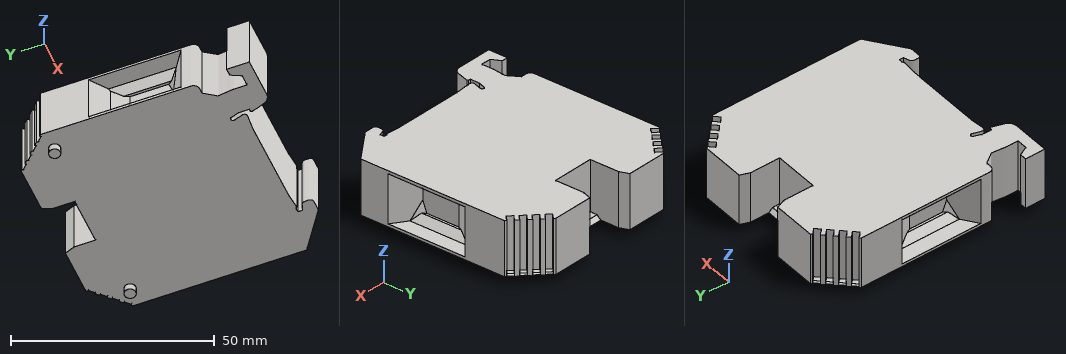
import cadquery as cq
import math

LENGTH_Y = 65.0
RIGHT_X = 60.5
LEFT_X = 1.55
THICKNESS = 16.05
MID_X = (LEFT_X + RIGHT_X) / 2
MID_Z = THICKNESS / 2

CORNER = 8.9

NOTCH_WIDTH = 13.2
NOTCH_MOUTH = 15.3
NOTCH_FLARE_DEPTH = 2.8
NOTCH_FLOOR_Y = 53.2
LEDGE_Y = 56.55
LEDGE_HEIGHT = 1.2

GROOVE_COUNT = 4
GROOVE_PITCH = 3.2
GROOVE_WIDTH = 1.9
GROOVE_DEPTH = 2.2
GROOVE_FLOOR = 0.45
GROOVE_LIP = 0.3

FUNNEL_TOP_Y = 43.35
FUNNEL_BOTTOM_Y = 18.8
FUNNEL_BEND_DEPTH = 5.0
FUNNEL_BEND_Y = 39.6
FUNNEL_THROAT_DEPTH = 4.55
FUNNEL_NECK_DEPTH = 6.5
FUNNEL_DEPTH = 7.2
FUNNEL_BACK_TOP_Y = 35.35
FUNNEL_BACK_BOTTOM_Y = 23.8
FUNNEL_MOUTH_HEIGHT = 14.25
FUNNEL_NECK_HEIGHT = 9.95
FACET_GAP = 3.4
FACET_NECK_Y = 25.1

PEG_DIAMETER = 3.0
PEG_LENGTH = 2.0
PEG_SPACING = 48.1
PEG_Y = 54.6

CLEARANCE = 0.65


def housing_blank():
    """Side profile with rail foot, spring slot and rail hook, without the top notch."""
    outline = (
        cq.Workplane("XY")
        .moveTo(0, 0)
        .lineTo(11.25, 0)
        .threePointArc((12.75, 0.6), (13.65, 1.95))
        .lineTo(14.75, 5.45)
        .lineTo(14.5, 5.8)
        .lineTo(13.85, 5.8)
        .lineTo(13.85, 8.7)
        .lineTo(14.55, 10.8)
        .threePointArc((15.2, 11.2), (15.6, 10.45))
        .lineTo(14.8, 7.9)
        .threePointArc((14.95, 7.3), (15.65, 6.95))
        .lineTo(19.7, 7.35)
        .lineTo(42.65, 7.35)
        .lineTo(46.9, 6.95)
        .lineTo(47.4, 7.35)
        .lineTo(48.4, 7.2)
        .lineTo(48.4, 6.05)
        .lineTo(46.9, 5.6)
        .threePointArc((46.3, 5.15), (46.0, 4.4))
        .lineTo(46.0, 3.4)
        .radiusArc((47.0, 2.4), -1.0)
        .lineTo(49.85, 2.4)
        .lineTo(RIGHT_X, 9.95)
        .lineTo(RIGHT_X, LENGTH_Y - CORNER)
        .lineTo(RIGHT_X - CORNER, LENGTH_Y)
        .lineTo(LEFT_X + CORNER, LENGTH_Y)
        .lineTo(LEFT_X, LENGTH_Y - CORNER)
        .lineTo(LEFT_X, 16.1)
        .radiusArc((LEFT_X + 1.6, 14.5), -1.6)
        .lineTo(4.7, 14.5)
        .lineTo(6.7, 11.65)
        .threePointArc((6.9, 11.4), (6.95, 11.05))
        .lineTo(6.7, 8.6)
        .threePointArc((6.55, 7.7), (6.5, 6.75))
        .lineTo(6.5, 3.3)
        .lineTo(3.4, 3.3)
        .lineTo(2.0, 6.05)
        .lineTo(0, 6.05)
        .close()
    )
    return outline.extrude(THICKNESS)


def marker_notch():
    """Flared notch whose bottom is closed by a bevelled ledge."""
    half_width = NOTCH_WIDTH / 2
    half_mouth = NOTCH_MOUTH / 2
    notch = (
        cq.Workplane("XY")
        .moveTo(MID_X - half_width, NOTCH_FLOOR_Y)
        .lineTo(MID_X + half_width, NOTCH_FLOOR_Y)
        .lineTo(MID_X + half_width, LENGTH_Y - NOTCH_FLARE_DEPTH)
        .lineTo(MID_X + half_mouth, LENGTH_Y)
        .lineTo(MID_X - half_mouth, LENGTH_Y)
        .lineTo(MID_X - half_width, LENGTH_Y - NOTCH_FLARE_DEPTH)
        .close()
        .extrude(THICKNESS)
    )
    ledge = (
        cq.Workplane("YZ", origin=(MID_X, 0, 0))
        .moveTo(NOTCH_FLOOR_Y, 0)
        .lineTo(LEDGE_Y, 0)
        .lineTo(LEDGE_Y - LEDGE_HEIGHT, LEDGE_HEIGHT)
        .lineTo(NOTCH_FLOOR_Y, LEDGE_HEIGHT)
        .close()
        .extrude(half_width, both=True)
    )
    return notch.cut(ledge)


def finger_groove(offset):
    """Groove across the left chamfer, at a distance along it from its middle."""
    along = offset / math.sqrt(2)
    origin = (LEFT_X + CORNER / 2 + along, LENGTH_Y - CORNER / 2 + along, 0)
    across_chamfer = cq.Plane(origin=origin, xDir=(1, -1, 0), normal=(-1, -1, 0))
    return (
        cq.Workplane(across_chamfer)
        .moveTo(-CLEARANCE, 0)
        .lineTo(GROOVE_LIP, 0)
        .lineTo(GROOVE_LIP + GROOVE_FLOOR, GROOVE_FLOOR)
        .lineTo(GROOVE_DEPTH, GROOVE_FLOOR)
        .lineTo(GROOVE_DEPTH, THICKNESS)
        .lineTo(-CLEARANCE, THICKNESS)
        .close()
        .extrude(GROOVE_WIDTH / 2, both=True)
    )


def corner_facet(side):
    """Block beyond the slanted plane that cuts a lower back corner of the funnel.

    side is -1 for the corner toward -Z and +1 for the one toward +Z.
    """
    end_wall_slope = (FUNNEL_BACK_BOTTOM_Y - FUNNEL_BOTTOM_Y) / FUNNEL_DEPTH
    throat_y = FUNNEL_BOTTOM_Y + end_wall_slope * FUNNEL_THROAT_DEPTH
    back_x = LEFT_X + FUNNEL_DEPTH
    throat = cq.Vector(LEFT_X + FUNNEL_THROAT_DEPTH, throat_y, MID_Z + side * FUNNEL_MOUTH_HEIGHT / 2)
    back = cq.Vector(back_x, FUNNEL_BACK_BOTTOM_Y, MID_Z + side * FACET_GAP / 2)
    neck = cq.Vector(back_x, FACET_NECK_Y, MID_Z + side * FUNNEL_NECK_HEIGHT / 2)
    outward = (back - throat).cross(neck - throat) * side
    facet_plane = cq.Plane(origin=throat, xDir=back - throat, normal=outward)
    block = 2 * FUNNEL_MOUTH_HEIGHT
    return cq.Workplane(facet_plane).rect(block, block).extrude(block)


def wire_funnel():
    """Opening in the left wall that narrows toward its back wall."""
    throat_x = LEFT_X + FUNNEL_THROAT_DEPTH
    neck_x = LEFT_X + FUNNEL_NECK_DEPTH
    back_x = LEFT_X + FUNNEL_DEPTH
    plan = (
        cq.Workplane("XY")
        .moveTo(LEFT_X, FUNNEL_TOP_Y)
        .lineTo(LEFT_X + FUNNEL_BEND_DEPTH, FUNNEL_BEND_Y)
        .lineTo(back_x, FUNNEL_BACK_TOP_Y)
        .lineTo(back_x, FUNNEL_BACK_BOTTOM_Y)
        .lineTo(LEFT_X, FUNNEL_BOTTOM_Y)
        .close()
        .extrude(THICKNESS)
    )
    half_mouth = FUNNEL_MOUTH_HEIGHT / 2
    half_neck = FUNNEL_NECK_HEIGHT / 2
    section = (
        cq.Workplane("XZ")
        .moveTo(LEFT_X, MID_Z - half_mouth)
        .lineTo(throat_x, MID_Z - half_mouth)
        .lineTo(neck_x, MID_Z - half_neck)
        .lineTo(back_x, MID_Z - half_neck)
        .lineTo(back_x, MID_Z + half_neck)
        .lineTo(neck_x, MID_Z + half_neck)
        .lineTo(throat_x, MID_Z + half_mouth)
        .lineTo(LEFT_X, MID_Z + half_mouth)
        .close()
        .extrude(-LENGTH_Y)
    )
    funnel = plan.intersect(section)
    for side in (-1, 1):
        funnel = funnel.cut(corner_facet(side))
    return funnel


def both_sides(cutter):
    """The cutter and its mirror image about the middle of the housing."""
    mirrored = cutter.mirror("YZ", (MID_X, 0, 0))
    return [cutter, mirrored]


def make_housing():
    body = housing_blank().cut(marker_notch())
    first_offset = -GROOVE_PITCH * (GROOVE_COUNT - 1) / 2
    cutters = [finger_groove(first_offset + i * GROOVE_PITCH) for i in range(GROOVE_COUNT)]
    cutters.append(wire_funnel())
    for cutter in cutters:
        for copy in both_sides(cutter):
            body = body.cut(copy)
    return body


def make_peg(x):
    """Round locating peg standing on the underside of the housing."""
    return (
        cq.Workplane("XY", origin=(x, PEG_Y, -PEG_LENGTH))
        .circle(PEG_DIAMETER / 2)
        .extrude(PEG_LENGTH)
    )


housing = make_housing()
pegs = [make_peg(MID_X + side * PEG_SPACING / 2) for side in (-1, 1)]

result = cq.Compound.makeCompound([housing.val(), *[peg.val() for peg in pegs]])